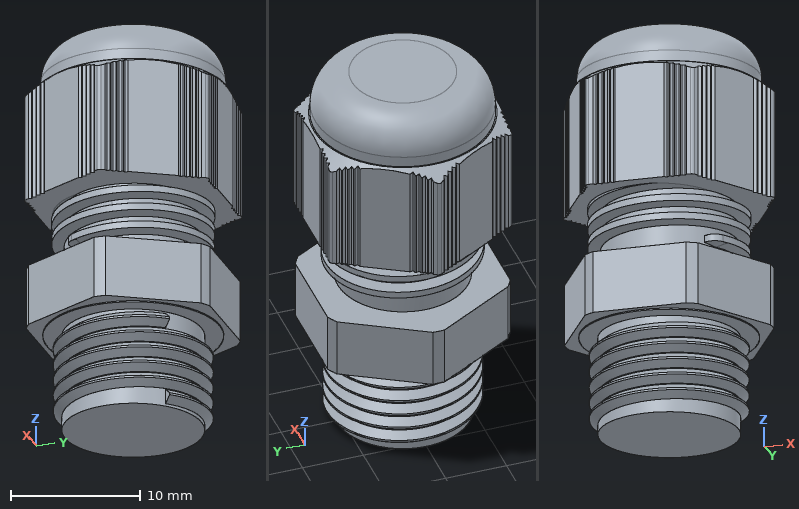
import cadquery as cq
import math

TOTAL_HEIGHT = 32.05
COLLAR_BOTTOM = 7.88
HEX_BOTTOM = 7.98
HEX_TOP = 12.95
NUT_BOTTOM = 18.5
NECK_TOP = 22.43
NUT_TOP = 28.13

HEX_SIDES = 6
ACROSS_FLATS = 15.0
ACROSS_CORNERS = ACROSS_FLATS / math.cos(math.pi / HEX_SIDES)

STEM_DIAMETER = 11.1
NECK_DIAMETER = 10.7
COLLAR_DIAMETER = 14.03
HEX_CORNER_DIAMETER = 16.8

NUT_CORNER_RADIUS = 0.32
DOME_DIAMETER = 14.4
DOME_RADIUS = 3.0
CHAMFER_TOP_DIAMETER = 14.6
CHAMFER_ANGLE = 36.0
GRIP_GROOVE_DEPTH = 0.2
GRIP_GROOVE_HALF_WIDTH = 0.2
GRIP_GROOVE_PITCH = 0.48
GRIP_GROOVE_FIRST = 2.18
GRIP_GROOVES_PER_HALF_FLAT = 4

THREAD_EMBED = 0.03

STEM_THREAD_DIAMETER = 12.43
STEM_THREAD_TURNS = 5
STEM_THREAD_RISE = 6.35
STEM_THREAD_ROOT_WIDTH = 1.25
STEM_THREAD_CREST_WIDTH = 0.15
STEM_THREAD_START_Z = 0.8
STEM_THREAD_START_ANGLE = 45.0

NECK_THREAD_DIAMETER = 12.65
NECK_THREAD_PITCH = 1.5
NECK_THREAD_TURNS = 3.5
NECK_THREAD_ROOT_WIDTH = 0.93
NECK_THREAD_CREST_WIDTH = 0.55
NECK_THREAD_START_Z = 14.45
NECK_THREAD_START_ANGLE = -31.0


def cylinder(diameter, bottom, top):
    return cq.Workplane("XY").workplane(offset=bottom).circle(diameter / 2).extrude(top - bottom)


def hexagon(bottom, top):
    return cq.Workplane("XY").workplane(offset=bottom).polygon(HEX_SIDES, ACROSS_CORNERS).extrude(top - bottom)


def thread(core_diameter, crest_diameter, root_width, crest_width, pitch, turns, start_z, start_angle):
    """Right-handed trapezoidal thread ridge, centred on start_z where it begins."""
    inner = core_diameter / 2 - THREAD_EMBED
    crest = crest_diameter / 2
    half_root = root_width / 2
    half_crest = crest_width / 2
    path = cq.Workplane(obj=cq.Wire.makeHelix(pitch, pitch * turns, inner))
    profile = cq.Workplane("XZ").polyline([
        (inner, -half_root),
        (crest, -half_crest),
        (crest, half_crest),
        (inner, half_root),
    ]).close()
    ridge = profile.sweep(path, isFrenet=True)
    return ridge.rotate((0, 0, 0), (0, 0, 1), start_angle).translate((0, 0, start_z))


def neck_thread_end():
    """Rounded lead-in: the thread profile turned about an upright axis on the neck surface."""
    height = (NECK_THREAD_DIAMETER - NECK_DIAMETER) / 2
    half_root = NECK_THREAD_ROOT_WIDTH / 2
    half_crest = NECK_THREAD_CREST_WIDTH / 2
    profile = cq.Workplane("XZ").polyline([
        (0, -half_root),
        (height, -half_crest),
        (height, half_crest),
        (0, half_root),
    ]).close()
    lead_in = profile.revolve(360, (0, 0, 0), (0, 1, 0))
    lead_in = lead_in.translate((NECK_DIAMETER / 2, 0, NECK_THREAD_START_Z))
    return lead_in.rotate((0, 0, 0), (0, 0, 1), NECK_THREAD_START_ANGLE)


def body():
    """Stem, collar, wrench hexagon with turned corners, and neck."""
    wrench_hex = hexagon(HEX_BOTTOM, HEX_TOP).intersect(cylinder(HEX_CORNER_DIAMETER, HEX_BOTTOM, HEX_TOP))
    stem = cylinder(STEM_DIAMETER, 0, HEX_BOTTOM)
    collar = cylinder(COLLAR_DIAMETER, COLLAR_BOTTOM, HEX_BOTTOM)
    neck = cylinder(NECK_DIAMETER, HEX_TOP, NECK_TOP)
    return wrench_hex.union(stem).union(collar).union(neck)


def cut_grip_grooves(nut):
    """V grooves along the nut, mirrored about the middle of each of the six flats."""
    positions = []
    for index in range(GRIP_GROOVES_PER_HALF_FLAT):
        offset = GRIP_GROOVE_FIRST + index * GRIP_GROOVE_PITCH
        positions += [-offset, offset]
    flat = ACROSS_FLATS / 2
    grooves = cq.Workplane("XY").workplane(offset=NUT_BOTTOM)
    for position in positions:
        grooves = grooves.polyline([
            (position - GRIP_GROOVE_HALF_WIDTH, flat),
            (position, flat - GRIP_GROOVE_DEPTH),
            (position + GRIP_GROOVE_HALF_WIDTH, flat),
        ]).close()
    one_flat = grooves.extrude(NUT_TOP - NUT_BOTTOM)
    for side in range(HEX_SIDES):
        nut = nut.cut(one_flat.rotate((0, 0, 0), (0, 0, 1), side * 360 / HEX_SIDES))
    return nut


def chamfer_envelope():
    """Turned shape whose sloping shoulder trims the upper corners of the nut."""
    outer = ACROSS_CORNERS / 2
    shoulder = CHAMFER_TOP_DIAMETER / 2
    drop = (outer - shoulder) * math.tan(math.radians(CHAMFER_ANGLE))
    return cq.Workplane("XZ").polyline([
        (0, NUT_BOTTOM),
        (outer, NUT_BOTTOM),
        (outer, NUT_TOP - drop),
        (shoulder, NUT_TOP),
        (0, NUT_TOP),
    ]).close().revolve(360, (0, 0, 0), (0, 1, 0))


def cap_nut():
    """Grooved hexagon nut with a rounded dome on top."""
    nut = hexagon(NUT_BOTTOM, NUT_TOP).edges("|Z").fillet(NUT_CORNER_RADIUS)
    nut = cut_grip_grooves(nut).intersect(chamfer_envelope())
    dome = cylinder(DOME_DIAMETER, NUT_BOTTOM, TOTAL_HEIGHT).faces(">Z").edges().fillet(DOME_RADIUS)
    return nut.union(dome)


stem_thread = thread(
    STEM_DIAMETER, STEM_THREAD_DIAMETER, STEM_THREAD_ROOT_WIDTH, STEM_THREAD_CREST_WIDTH,
    STEM_THREAD_RISE / STEM_THREAD_TURNS, STEM_THREAD_TURNS, STEM_THREAD_START_Z, STEM_THREAD_START_ANGLE,
)
neck_thread = thread(
    NECK_DIAMETER, NECK_THREAD_DIAMETER, NECK_THREAD_ROOT_WIDTH, NECK_THREAD_CREST_WIDTH,
    NECK_THREAD_PITCH, NECK_THREAD_TURNS, NECK_THREAD_START_Z, NECK_THREAD_START_ANGLE,
)

result = body().union(stem_thread).union(neck_thread).union(neck_thread_end()).union(cap_nut())